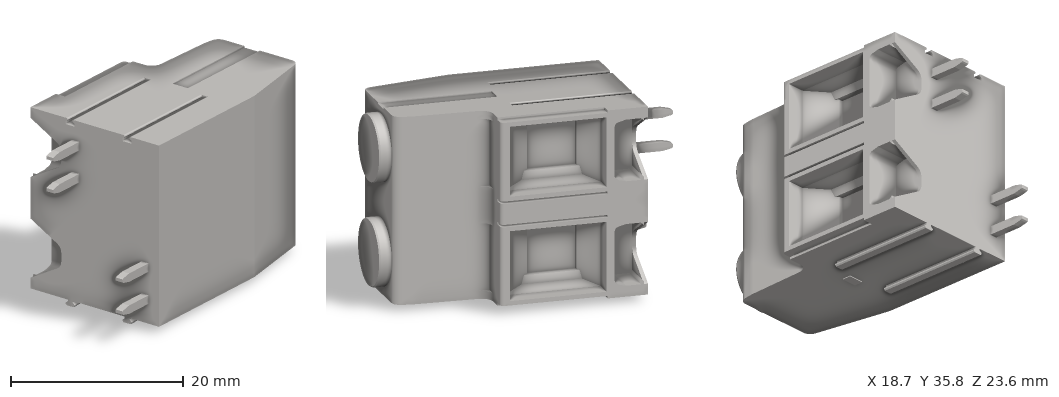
import cadquery as cq
import math


BODY_WIDTH = 18.7
BODY_LENGTH = 29.3
POLE_PITCH = 12.7
POLE_HALF_HEIGHT = 5.08
BODY_HEIGHT = POLE_PITCH + 2 * POLE_HALF_HEIGHT
POLE_CENTERS = [POLE_HALF_HEIGHT, POLE_HALF_HEIGHT + POLE_PITCH]

LEDGE_Y = 17.9
NOSE_RADIUS = 0.5
NECK_FOOT_X = 4.36
NECK_FOOT_RADIUS = 1.4
NECK_KINK = (4.73, 27.17)
NECK_KINK_RADIUS = 4.3
CROWN_LEFT_X = 5.08
CROWN_RIGHT_X = 16.76
CROWN_RADIUS = 1.1
BACK_SLOPE_Y = 18.3

SCREW_DIAMETER = 8.2
SCREW_X = 10.03
SCREW_RISE = 1.5
SCREW_RIM_INSET = 0.1
SCREW_RIM_HEIGHT = 0.2

FRAME_GROOVE_DEPTH = 1.34
FRAME_GROOVE_WIDTH = 0.3
FRAME_GROOVE_START_Y = 4.92
FRAME_HALF_HEIGHT = POLE_HALF_HEIGHT - FRAME_GROOVE_WIDTH

ENTRY_Y = (5.03, 16.82)
ENTRY_HALF_HEIGHT = 4.25
ENTRY_STRAIGHT = 2.3
TAPER_DEPTH = 2.45
CLAMP_Y = (7.18, 13.24)
CLAMP_HALF_HEIGHT = 2.75
CLAMP_FLOOR_DEPTH = 0.5
TAPER_END_HALF_HEIGHT = 3.75
TAPER_END_FRACTION = 0.77
BEVEL_END_FRACTION = 0.875

POCKET_DEPTH = 4.5
POCKET_TOP_Y = 4.07
POCKET_HALF_HEIGHT = 3.75
POCKET_SHOULDER_Y = 2.7
POCKET_TOP_HALF_HEIGHT = 3.4
POCKET_TOP_RADIUS = 0.6
LIP_THICKNESS = 0.5
LIP_CORNER = 0.35
LIP_MOUTH_ANGLE = 29.0
LIP_MOUTH_RADIUS = 1.25

RAIL_CENTERS_X = [5.77, 14.05]
RAIL_LENGTH = 14.25
RAIL_HEIGHT = 0.75
SLOT_LENGTH = 14.85
SLOT_DEPTH = 0.8
SLOT_LIP_RADIUS = 0.2
DOVETAIL_NECK_HALF = 0.33
DOVETAIL_HEAD_HALF = 0.65
DOVETAIL_NECK_END = 0.2
DOVETAIL_HEAD_START = 0.45
RAIL_EDGE_CHAMFER = 0.15

LATCH_X = (8.95, 11.2)
LATCH_CHANNEL_START_Y = 15.45
LATCH_CHANNEL_DEPTH = 0.2
BUMP_X = (9.05, 11.1)
BUMP_Y = (15.55, 16.7)
BUMP_HEIGHT = 0.1

PIN_LENGTH = 5.0
PIN_WIDTH = 1.0
PIN_SPACING_Z = 4.04
PIN_X = [16.7, 6.62]
PIN_HALF = 0.53
PIN_TAPER_START = 3.75
PIN_TIP_START = 4.78
PIN_TIP_START_HALF = 0.3
PIN_TIP_HALF = 0.2


def box(x_range, y_range, z_range):
    size = [high - low for low, high in (x_range, y_range, z_range)]
    return cq.Workplane("XY").box(*size, centered=False).translate((x_range[0], y_range[0], z_range[0]))


def prism_along_x(outline_yz, x_start, length):
    return cq.Workplane("YZ", origin=(x_start, 0, 0)).polyline(outline_yz).close().extrude(length)


def prism_along_y(outline_xz, y_end):
    """Prism from y = 0 to y = y_end; the XZ plane's normal points to -Y."""
    return cq.Workplane("XZ").polyline(outline_xz).close().extrude(-y_end)


def make_body():
    corners = [
        ((0, LEDGE_Y), NOSE_RADIUS),
        ((NECK_FOOT_X, LEDGE_Y), NECK_FOOT_RADIUS),
        (NECK_KINK, NECK_KINK_RADIUS),
        ((CROWN_LEFT_X, BODY_LENGTH), CROWN_RADIUS),
        ((CROWN_RIGHT_X, BODY_LENGTH), CROWN_RADIUS),
    ]
    outline = [(0, 0)] + [point for point, _ in corners] + [(BODY_WIDTH, BACK_SLOPE_Y), (BODY_WIDTH, 0)]
    body = cq.Workplane("XY").polyline(outline).close().extrude(BODY_HEIGHT)
    for (x, y), radius in corners:
        nearest = cq.selectors.NearestToPointSelector((x, y, BODY_HEIGHT / 2))
        body = body.edges("|Z").edges(nearest).fillet(radius)
    return body


def neck_relief(center_z):
    """Squares off the rounded neck foot beside a screw, down to the ledge."""
    half = SCREW_DIAMETER / 2
    slope = (NECK_KINK[0] - NECK_FOOT_X) / (NECK_KINK[1] - LEDGE_Y)
    relief_size = 2 * NECK_FOOT_RADIUS
    relief_left_x = NECK_FOOT_X - relief_size
    relief_top_y = LEDGE_Y + relief_size
    outline = [
        (relief_left_x, LEDGE_Y),
        (NECK_FOOT_X, LEDGE_Y),
        (NECK_FOOT_X + slope * relief_size, relief_top_y),
        (relief_left_x, relief_top_y),
    ]
    plane = cq.Workplane("XY", origin=(0, 0, center_z - half))
    return plane.polyline(outline).close().extrude(SCREW_DIAMETER)


def screw_head(center_z):
    plane = cq.Workplane("XZ", origin=(SCREW_X, BODY_LENGTH, center_z))
    head = plane.circle(SCREW_DIAMETER / 2).extrude(-SCREW_RISE)
    return head.faces(">Y").edges().chamfer(SCREW_RIM_HEIGHT, SCREW_RIM_INSET)


def frame_groove(z_low):
    z_range = (z_low, z_low + FRAME_GROOVE_WIDTH)
    return box((0, FRAME_GROOVE_DEPTH), (FRAME_GROOVE_START_Y, LEDGE_Y), z_range)


def wire_entry(center_z):
    """Straight mouth, then a taper in Y crossed with a two-step taper in Z, then the clamp floor."""
    taper_end_x = ENTRY_STRAIGHT + TAPER_DEPTH
    floor_x = taper_end_x + CLAMP_FLOOR_DEPTH
    in_plan = [
        (0, ENTRY_Y[0]),
        (ENTRY_STRAIGHT, ENTRY_Y[0]),
        (taper_end_x, CLAMP_Y[0]),
        (floor_x, CLAMP_Y[0]),
        (floor_x, CLAMP_Y[1]),
        (taper_end_x, CLAMP_Y[1]),
        (ENTRY_STRAIGHT, ENTRY_Y[1]),
        (0, ENTRY_Y[1]),
    ]
    half_profile = [
        (0, ENTRY_HALF_HEIGHT),
        (ENTRY_STRAIGHT, ENTRY_HALF_HEIGHT),
        (ENTRY_STRAIGHT + TAPER_END_FRACTION * TAPER_DEPTH, TAPER_END_HALF_HEIGHT),
        (ENTRY_STRAIGHT + BEVEL_END_FRACTION * TAPER_DEPTH, CLAMP_HALF_HEIGHT),
        (floor_x, CLAMP_HALF_HEIGHT),
    ]
    upper = [(x, center_z + half) for x, half in half_profile]
    lower = [(x, center_z - half) for x, half in reversed(half_profile)]
    plan_prism = cq.Workplane("XY").polyline(in_plan).close().extrude(BODY_HEIGHT)
    return plan_prism.intersect(prism_along_y(upper + lower, BODY_LENGTH))


def access_pocket(center_z):
    half_outline = [
        (LIP_THICKNESS, POCKET_HALF_HEIGHT - LIP_CORNER),
        (LIP_THICKNESS + LIP_CORNER, POCKET_HALF_HEIGHT),
        (POCKET_SHOULDER_Y, POCKET_HALF_HEIGHT),
        (POCKET_TOP_Y, POCKET_TOP_HALF_HEIGHT),
    ]
    upper = [(y, center_z + half) for y, half in half_outline]
    lower = [(y, center_z - half) for y, half in reversed(half_outline)]
    chamber = prism_along_x(upper + lower, 0, POCKET_DEPTH)
    chamber = chamber.faces(">Y").edges("|X").fillet(POCKET_TOP_RADIUS)

    throat_half = POCKET_HALF_HEIGHT - POCKET_DEPTH * math.tan(math.radians(LIP_MOUTH_ANGLE))
    mouth_outline = [
        (0, center_z - POCKET_HALF_HEIGHT),
        (POCKET_DEPTH, center_z - throat_half),
        (POCKET_DEPTH, center_z + throat_half),
        (0, center_z + POCKET_HALF_HEIGHT),
    ]
    mouth = prism_along_y(mouth_outline, LIP_THICKNESS)
    mouth = mouth.faces(">X").edges("|Y").fillet(LIP_MOUTH_RADIUS)
    return chamber.union(mouth)


def dovetail(center_x, surface_z, depth, length):
    """Dovetail running down from surface_z: a narrow neck, then a wide head."""
    half_outline = [
        (DOVETAIL_NECK_HALF, 0),
        (DOVETAIL_NECK_HALF, DOVETAIL_NECK_END),
        (DOVETAIL_HEAD_HALF, DOVETAIL_HEAD_START),
        (DOVETAIL_HEAD_HALF, depth),
    ]
    right = [(center_x + half, surface_z - drop) for half, drop in half_outline]
    left = [(center_x - half, surface_z - drop) for half, drop in reversed(half_outline)]
    return prism_along_y(right + left, length)


def rail(center_x):
    bar = dovetail(center_x, 0, RAIL_HEIGHT, RAIL_LENGTH)
    return bar.faces("<Z").edges("|Y").chamfer(RAIL_EDGE_CHAMFER)


def slot(center_x):
    """Dovetail slot whose opening is widened by a rounded lip on both sides."""
    lip_bottom_z = BODY_HEIGHT - SLOT_LIP_RADIUS
    mouth_half = DOVETAIL_NECK_HALF + SLOT_LIP_RADIUS
    arc_inset = SLOT_LIP_RADIUS * (1 - math.sqrt(0.5))
    arc_half = DOVETAIL_NECK_HALF + arc_inset
    arc_z = BODY_HEIGHT - arc_inset
    mouth = (
        cq.Workplane("XZ")
        .moveTo(center_x + mouth_half, BODY_HEIGHT)
        .threePointArc((center_x + arc_half, arc_z), (center_x + DOVETAIL_NECK_HALF, lip_bottom_z))
        .lineTo(center_x - DOVETAIL_NECK_HALF, lip_bottom_z)
        .threePointArc((center_x - arc_half, arc_z), (center_x - mouth_half, BODY_HEIGHT))
        .close()
        .extrude(-SLOT_LENGTH)
    )
    return dovetail(center_x, BODY_HEIGHT, SLOT_DEPTH, SLOT_LENGTH).union(mouth)


def pin(center_x, center_z):
    half_outline = [
        (0, PIN_HALF),
        (-PIN_TAPER_START, PIN_HALF),
        (-PIN_TIP_START, PIN_TIP_START_HALF),
        (-PIN_LENGTH, PIN_TIP_HALF),
    ]
    upper = [(y, center_z + half) for y, half in half_outline]
    lower = [(y, center_z - half) for y, half in reversed(half_outline)]
    return prism_along_x(upper + lower, center_x - PIN_WIDTH / 2, PIN_WIDTH)


result = make_body()

for pole_z, pin_x in zip(POLE_CENTERS, PIN_X):
    result = result.cut(neck_relief(pole_z))
    result = result.cut(frame_groove(pole_z + FRAME_HALF_HEIGHT))
    result = result.cut(frame_groove(pole_z - FRAME_HALF_HEIGHT - FRAME_GROOVE_WIDTH))
    result = result.cut(wire_entry(pole_z))
    result = result.cut(access_pocket(pole_z))
    result = result.union(screw_head(pole_z))
    for side in (-1, 1):
        result = result.union(pin(pin_x, pole_z + side * PIN_SPACING_Z / 2))

for rail_x in RAIL_CENTERS_X:
    result = result.cut(slot(rail_x))
    result = result.union(rail(rail_x))

channel_z = (BODY_HEIGHT - LATCH_CHANNEL_DEPTH, BODY_HEIGHT)
result = result.cut(box(LATCH_X, (LATCH_CHANNEL_START_Y, BODY_LENGTH), channel_z))
result = result.union(box(BUMP_X, BUMP_Y, (-BUMP_HEIGHT, 0)))